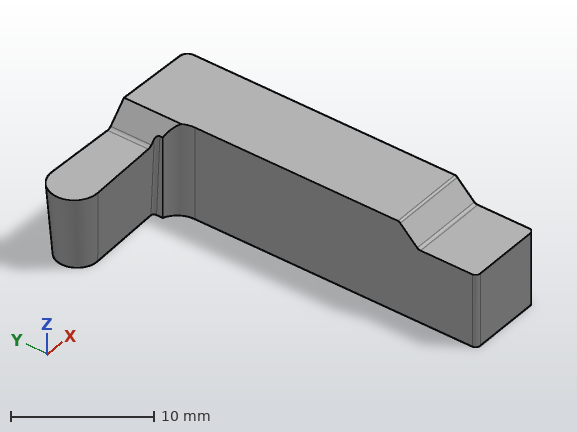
import cadquery as cq
import math

length = 30.9
width = 17.0
height = 8.05

shank_width = 6.6
shank_left = width - shank_width
back_corner_radius = 0.7
front_corner_radius = 0.4

arm_height = 6.35
step_rise = height - arm_height
nose_radius = 2.0
nose_center_y = length - nose_radius
side_draft = 0.28
nose_center_shift = 0.35
arm_taper = math.radians(2)

neck_left = 9.15
neck_radius = 2.0
neck_arc_start_y = 24.7
notch_fillet = 0.28

arm_step_start = 8.45
arm_step_radius = 0.5
front_step_start = 5.1
front_step_foot_radius = 0.4
front_step_top_radius = 0.3


def round_edge(solid, point, radius):
    """Fillet the edge whose middle lies nearest to point."""
    return solid.edges(cq.selectors.NearestToPointSelector(point)).fillet(radius)


def nose_at(z):
    """Center x and radius of the nose at height z; the draft continues above the arm."""
    depth_ratio = (arm_height - z) / arm_height
    return nose_radius + nose_center_shift * depth_ratio, nose_radius - side_draft * depth_ratio


def half_width(x, z):
    """Half width at x and z of the arm sides, which are tangent to the nose."""
    center_x, radius = nose_at(z)
    return radius / math.cos(arm_taper) - (x - center_x) * math.tan(arm_taper)


def plan_section(plane, z):
    """Outline at height z: arm and back face follow the draft, neck and shank stay vertical."""
    center_x, radius = nose_at(z)
    tangent_x = center_x + radius * math.sin(arm_taper)
    tangent_half = radius * math.cos(arm_taper)

    notch_x = neck_left - notch_fillet
    notch_y = nose_center_y - half_width(notch_x, z)
    arc_inset = notch_fillet * (1 - math.sqrt(0.5))

    neck_center_x = shank_left - neck_radius
    neck_angle = math.acos((neck_left - neck_center_x) / neck_radius)
    neck_end_y = neck_arc_start_y + neck_radius * math.sin(neck_angle)
    neck_middle = (
        neck_center_x + neck_radius * math.cos(neck_angle / 2),
        neck_arc_start_y + neck_radius * math.sin(neck_angle / 2),
    )
    return (
        plane.moveTo(width, 0)
        .lineTo(width, nose_center_y + half_width(width, z))
        .lineTo(tangent_x, nose_center_y + tangent_half)
        .threePointArc((center_x - radius, nose_center_y), (tangent_x, nose_center_y - tangent_half))
        .lineTo(notch_x, notch_y)
        .threePointArc((neck_left - arc_inset, notch_y - arc_inset), (neck_left, notch_y - notch_fillet))
        .lineTo(neck_left, neck_end_y)
        .threePointArc(neck_middle, (shank_left, neck_arc_start_y))
        .lineTo(shank_left, 0)
        .close()
    )


def make_body():
    """Full-height drafted body with rounded shank corners."""
    bottom = plan_section(cq.Workplane("XY"), 0)
    body = plan_section(bottom.workplane(offset=height), height).loft(ruled=True)
    back_corner = (width, nose_center_y + half_width(width, height / 2), height / 2)
    body = round_edge(body, back_corner, back_corner_radius)
    for x in (shank_left, width):
        body = round_edge(body, (x, 0, height / 2), front_corner_radius)
    return body


def make_ramp_envelope():
    """Space below the arm top and the blended ramp that rises to the shank top."""
    half_turn = math.radians(22.5)
    blend = arm_step_radius * math.tan(half_turn)
    foot_x = arm_step_start - blend
    blend_end = blend * math.sqrt(0.5)
    blend_middle = (
        foot_x + arm_step_radius * math.sin(half_turn),
        arm_height + arm_step_radius * (1 - math.cos(half_turn)),
    )
    return (
        cq.Workplane("XZ")
        .moveTo(0, 0)
        .lineTo(0, arm_height)
        .lineTo(foot_x, arm_height)
        .threePointArc(blend_middle, (arm_step_start + blend_end, arm_height + blend_end))
        .lineTo(arm_step_start + step_rise, height)
        .lineTo(width, height)
        .lineTo(width, 0)
        .close()
        .extrude(-length)
    )


def make_front_envelope():
    """Space below the shank top and its lowered front end."""
    step_end = front_step_start + step_rise
    side = (
        cq.Workplane("YZ")
        .polyline(
            [
                (0, 0),
                (length, 0),
                (length, height),
                (step_end, height),
                (front_step_start, arm_height),
                (0, arm_height),
            ]
        )
        .close()
        .extrude(width)
    )
    side = round_edge(side, (width / 2, front_step_start, arm_height), front_step_foot_radius)
    return round_edge(side, (width / 2, step_end, height), front_step_top_radius)


result = make_body().intersect(make_ramp_envelope()).intersect(make_front_envelope())